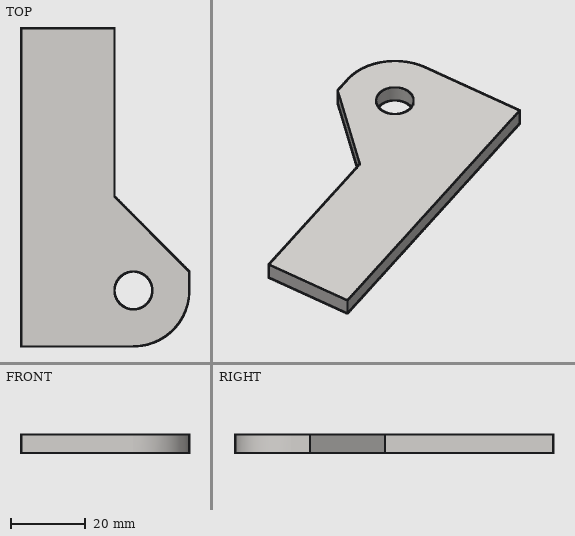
import cadquery as cq
import math

length = 85.0
width = 45.0
thickness = 5.0

arm_width = 25.0
lug_edge_top = 20.0
shoulder_top = 40.0
corner_radius = 15.0
hole_diameter = 10.0

hole_x = width - corner_radius
hole_y = corner_radius
arc_mid_offset = corner_radius * math.sqrt(0.5)

plate = (
    cq.Workplane("XY")
    .moveTo(0, 0)
    .lineTo(hole_x, 0)
    .threePointArc(
        (hole_x + arc_mid_offset, hole_y - arc_mid_offset),
        (width, hole_y),
    )
    .lineTo(width, lug_edge_top)
    .lineTo(arm_width, shoulder_top)
    .lineTo(arm_width, length)
    .lineTo(0, length)
    .close()
    .extrude(thickness)
)

hole = (
    cq.Workplane("XY")
    .center(hole_x, hole_y)
    .circle(hole_diameter / 2)
    .extrude(thickness)
)

result = plate.cut(hole)